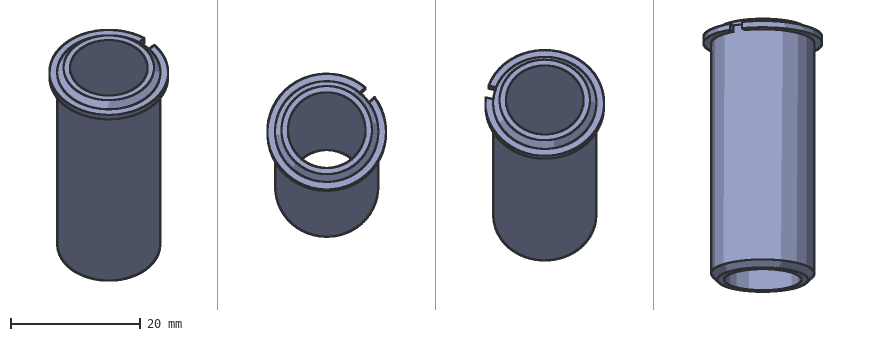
import cadquery as cq

sleeve_length = 40.0
sleeve_radius = 8.0
bore_radius = 6.0
rim_chamfer = 1.0

ring_radius = 9.2
ring_thickness = 1.0
ring_slot_width = 2.1
ring_bottom = sleeve_length - rim_chamfer - ring_thickness


def make_sleeve():
    """Tube standing on Z = 0, chamfered outside at both ends."""
    body = cq.Workplane("XY").circle(sleeve_radius).extrude(sleeve_length)
    body = body.faces("<Z or >Z").edges().chamfer(rim_chamfer)
    bore = cq.Workplane("XY").circle(bore_radius).extrude(sleeve_length)
    return body.cut(bore)


def make_ring():
    """Flat ring fitting the sleeve's outside, split on its +Y side."""
    ring = (
        cq.Workplane("XY", origin=(0, 0, ring_bottom))
        .circle(ring_radius)
        .circle(sleeve_radius)
        .extrude(ring_thickness)
    )
    slot = (
        cq.Workplane("XY", origin=(0, 0, ring_bottom))
        .center(0, ring_radius / 2)
        .rect(ring_slot_width, ring_radius)
        .extrude(ring_thickness)
    )
    return ring.cut(slot)


sleeve = make_sleeve()
ring = make_ring()
result = cq.Compound.makeCompound([sleeve.val(), ring.val()])